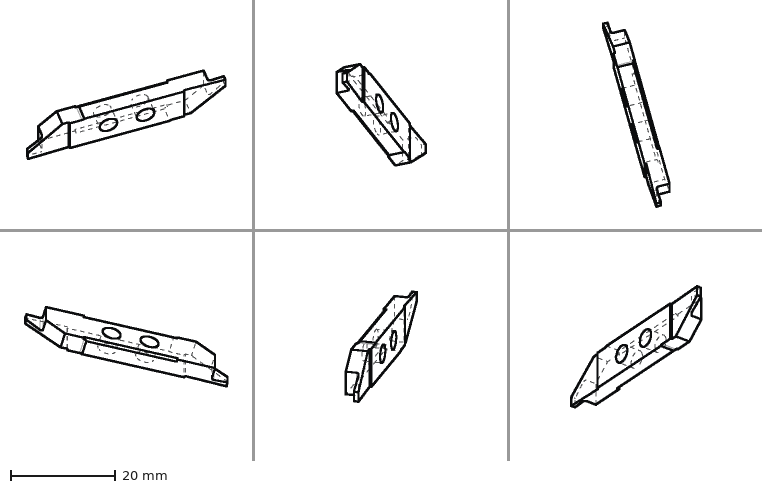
import cadquery as cq
import math

length = 40.0
width = 3.6
height = 8.0
half_length = length / 2
half_height = height / 2

shoulder_y = 16.75
shoulder_radius = 0.5
tip_inner_x = 2.55
tip_root_x = 2.7
tip_outer_x = 3.5
relief_x = 3.3
relief_start_y = 11.75
relief_end_y = 11.5
tip_end_skew = 0.1

tip_height = 1.9
slope_angle = 40.0
step_depth = 0.2
step_start_y = 9.1
step_runout = 0.5

bevel_width = 0.5
bevel_height = 0.5
bevel_length = 18.55

hole_diameter = 3.55
hole_spacing = 7.5


def plan_body():
    """Blade outline in XY, extruded through the full height."""
    half_outline = [
        (tip_root_x, shoulder_y + shoulder_radius),
        (tip_inner_x, half_length - tip_end_skew),
        (tip_outer_x, half_length),
        (relief_x, relief_start_y),
        (width, relief_end_y),
    ]
    mirrored = [(x, -y) for x, y in reversed(half_outline)]
    arc_center_x = tip_root_x - shoulder_radius
    arc_center_y = shoulder_y + shoulder_radius
    arc_offset = shoulder_radius * math.sqrt(0.5)
    arc_mid_x = arc_center_x + arc_offset
    arc_mid_y = arc_center_y - arc_offset
    return (
        cq.Workplane("XY", origin=(0, 0, -half_height))
        .moveTo(0, -shoulder_y)
        .lineTo(0, shoulder_y)
        .lineTo(arc_center_x, shoulder_y)
        .threePointArc((arc_mid_x, arc_mid_y), half_outline[0])
        .polyline(half_outline[1:] + mirrored, includeCurrent=True)
        .threePointArc((arc_mid_x, -arc_mid_y), (arc_center_x, -shoulder_y))
        .close()
        .extrude(height)
    )


def side_body():
    """Blade outline in YZ, extruded through the full width."""
    step_z = half_height - step_depth
    slope_drop = half_height + step_z - tip_height
    slope_end_y = half_length - slope_drop / math.tan(math.radians(slope_angle))
    tip_z = half_height - tip_height
    runout_y = step_start_y - step_runout
    runout_radius = (step_runout**2 + step_depth**2) / (2 * step_depth)
    return (
        cq.Workplane("YZ")
        .moveTo(-half_length, -half_height)
        .lineTo(runout_y, -half_height)
        .radiusArc((step_start_y, -step_z), runout_radius)
        .lineTo(slope_end_y, -step_z)
        .lineTo(half_length, tip_z)
        .lineTo(half_length, half_height)
        .lineTo(-runout_y, half_height)
        .radiusArc((-step_start_y, step_z), runout_radius)
        .lineTo(-slope_end_y, step_z)
        .lineTo(-half_length, -tip_z)
        .close()
        .extrude(width)
    )


def edge_bevel(side):
    """Wedge removed along the upper (side = 1) or lower (side = -1) edge."""
    edge_z = side * half_height
    return (
        cq.Workplane("XZ", origin=(0, bevel_length / 2, 0))
        .polyline([(0, edge_z), (bevel_width, edge_z), (0, edge_z - side * bevel_height)])
        .close()
        .extrude(bevel_length)
    )


def mounting_holes():
    return (
        cq.Workplane("YZ")
        .pushPoints([(-hole_spacing / 2, 0), (hole_spacing / 2, 0)])
        .circle(hole_diameter / 2)
        .extrude(width)
    )


result = plan_body().intersect(side_body())
for edge_side in (1, -1):
    result = result.cut(edge_bevel(edge_side))
result = result.cut(mounting_holes())